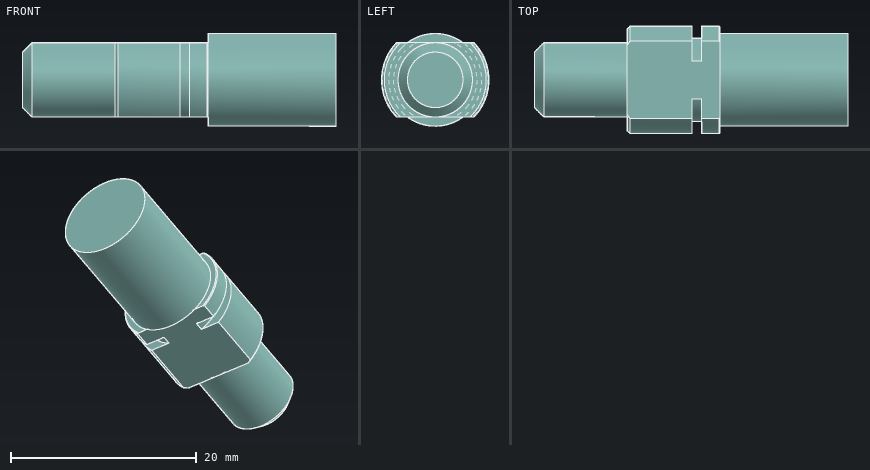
import cadquery as cq

total_length = 33.8
pin_diameter = 8.0
pin_chamfer = 1.0
collar_start = 10.0
collar_end = 20.0
collar_diameter = 11.6
collar_front_chamfer = 0.3
collar_rear_chamfer = 0.1
groove_start = 17.0
groove_width = 1.0
groove_diameter = 9.0
shank_diameter = 10.0
flat_spacing = pin_diameter


def cylinder(start, end, diameter):
    """Solid cylinder along X between two stations."""
    return cq.Workplane("YZ", origin=(start, 0, 0)).circle(diameter / 2).extrude(end - start)


pin = cylinder(0, collar_start, pin_diameter).faces("<X").chamfer(pin_chamfer)

collar = cylinder(collar_start, collar_end, collar_diameter)
collar = collar.faces("<X").chamfer(collar_front_chamfer)
collar = collar.faces(">X").chamfer(collar_rear_chamfer)
groove_end = groove_start + groove_width
groove = cylinder(groove_start, groove_end, collar_diameter).cut(
    cylinder(groove_start, groove_end, groove_diameter)
)
collar = collar.cut(groove)

between_flats = cq.Workplane("XY").box(
    total_length, collar_diameter, flat_spacing, centered=(False, True, True)
)
collar = collar.intersect(between_flats)

shank = cylinder(collar_end, total_length, shank_diameter)

result = pin.union(collar).union(shank)